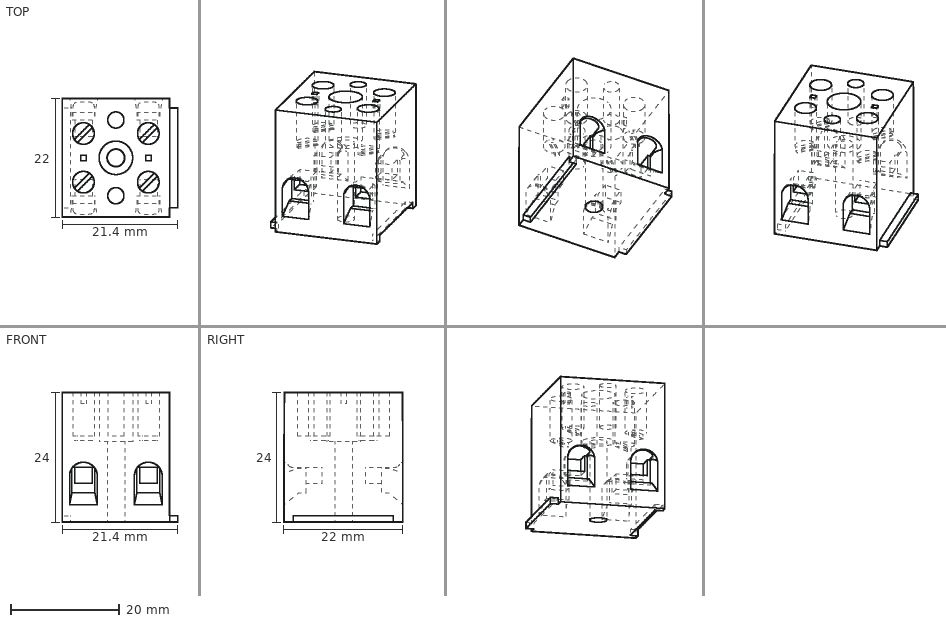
import cadquery as cq
import math

BODY_X = 19.9
BODY_Y = 22.0
BODY_Z = 24.0
DRAFT_START_Z = 15.0
DRAFT_INSET = 0.07

TAB_X = 1.5
TAB_Y = 18.5
TAB_Z = 1.2

POLE_X = 6.0
SCREW_Y = 4.5
SCREW_DIAMETER = 4.0
SCREW_WELL_DEPTH = 8.0
SLOT_WIDTH = 0.8
SLOT_DEPTH = 0.8
SLOT_ANGLE = 45.0
PLAIN_WELL_Y = 7.0
PLAIN_WELL_DIAMETER = 3.0
PLAIN_WELL_DEPTH = 8.0
TEST_WELL_SIDE = 1.0
TEST_WELL_DEPTH = 2.0

MOUNT_DIAMETER = 3.2
MOUNT_HEAD_DIAMETER = 6.2
MOUNT_HEAD_DEPTH = 9.0

ENTRY_WIDTH = 5.15
ENTRY_BOTTOM_Z = 3.25
ENTRY_TOP_Z = 11.1
FUNNEL_DEPTH = 2.6
FUNNEL_SIDE_ANGLE = 10.0
FUNNEL_FLOOR_ANGLE = 40.0
CHAMBER_TOP_Z = 10.2
LIP_SETBACK = 0.6
CHAMBER_WIDTH = ENTRY_WIDTH - 2 * FUNNEL_DEPTH * math.tan(math.radians(FUNNEL_SIDE_ANGLE))
CHAMBER_BOTTOM_Z = ENTRY_BOTTOM_Z + FUNNEL_DEPTH * math.tan(math.radians(FUNNEL_FLOOR_ANGLE))
CHAMBER_DEPTH = 4.0
CLAMP_WIDTH = 3.25
CLAMP_HEIGHT = 3.0
CLAMP_DEPTH = 3.0


def make_body():
    """Block whose two end faces lean inward near the top."""
    half_y = BODY_Y / 2
    half_top = half_y - DRAFT_INSET
    outline = [
        (-half_y, 0),
        (half_y, 0),
        (half_y, DRAFT_START_Z),
        (half_top, BODY_Z),
        (-half_top, BODY_Z),
        (-half_y, DRAFT_START_Z),
    ]
    return cq.Workplane("YZ").polyline(outline).close().extrude(BODY_X / 2, both=True)


def make_tab(outer_x):
    """Bar along the bottom edge that ends at outer_x on its +X side."""
    bar = cq.Workplane("XY").box(TAB_X, TAB_Y, TAB_Z, centered=(True, True, False))
    return bar.translate((outer_x - TAB_X / 2, 0, 0))


def make_screw_well(x, y):
    """Round well with a diagonal screwdriver slot across its floor."""
    floor_z = BODY_Z - SCREW_WELL_DEPTH
    shaft = cq.Workplane("XY").circle(SCREW_DIAMETER / 2).extrude(SCREW_WELL_DEPTH)
    disc = cq.Workplane("XY").circle(SCREW_DIAMETER / 2).extrude(-SLOT_DEPTH)
    bar = (
        cq.Workplane("XY")
        .transformed(rotate=(0, 0, SLOT_ANGLE))
        .rect(SCREW_DIAMETER * 2, SLOT_WIDTH)
        .extrude(-SLOT_DEPTH)
    )
    return shaft.union(disc.intersect(bar)).translate((x, y, floor_z))


def make_mouth_prism():
    """Arched prism that bounds the wire entry, centred on x = 0 at the -Y end."""
    radius = ENTRY_WIDTH / 2
    spring_z = ENTRY_TOP_Z - radius
    return (
        cq.Workplane("XZ", origin=(0, -BODY_Y / 2, 0))
        .moveTo(-radius, ENTRY_BOTTOM_Z)
        .lineTo(radius, ENTRY_BOTTOM_Z)
        .lineTo(radius, spring_z)
        .threePointArc((0, ENTRY_TOP_Z), (-radius, spring_z))
        .close()
        .extrude(-CHAMBER_DEPTH)
    )


def make_funnel_plan():
    """Entry seen from above: tapering sides, then parallel chamber walls."""
    face_y = -BODY_Y / 2
    outline = [
        (-ENTRY_WIDTH / 2, face_y),
        (ENTRY_WIDTH / 2, face_y),
        (CHAMBER_WIDTH / 2, face_y + FUNNEL_DEPTH),
        (CHAMBER_WIDTH / 2, face_y + CHAMBER_DEPTH),
        (-CHAMBER_WIDTH / 2, face_y + CHAMBER_DEPTH),
        (-CHAMBER_WIDTH / 2, face_y + FUNNEL_DEPTH),
    ]
    return cq.Workplane("XY").polyline(outline).close().extrude(BODY_Z)


def make_funnel_section():
    """Entry in lengthwise section: ramped floor and a rounded lip under the crown."""
    face_y = -BODY_Y / 2
    back_y = face_y + CHAMBER_DEPTH
    lip_radius = ENTRY_TOP_Z - CHAMBER_TOP_Z
    lip_reach = lip_radius * math.sqrt(0.5)
    lip_y = face_y + LIP_SETBACK
    lip_middle = (lip_y + lip_radius - lip_reach, ENTRY_TOP_Z - lip_reach)
    return (
        cq.Workplane("YZ")
        .moveTo(face_y, ENTRY_BOTTOM_Z)
        .lineTo(face_y + FUNNEL_DEPTH, CHAMBER_BOTTOM_Z)
        .lineTo(back_y, CHAMBER_BOTTOM_Z)
        .lineTo(back_y, CHAMBER_TOP_Z)
        .lineTo(lip_y + lip_radius, CHAMBER_TOP_Z)
        .threePointArc(lip_middle, (lip_y, ENTRY_TOP_Z))
        .lineTo(face_y, ENTRY_TOP_Z)
        .close()
        .extrude(ENTRY_WIDTH, both=True)
    )


def make_wire_entry():
    """Complete wire entry at the -Y end, centred on x = 0."""
    funnel = make_mouth_prism().intersect(make_funnel_plan()).intersect(make_funnel_section())
    clamp = cq.Workplane("XY").box(CLAMP_WIDTH, CLAMP_DEPTH, CLAMP_HEIGHT)
    clamp_y = -BODY_Y / 2 + CHAMBER_DEPTH + CLAMP_DEPTH / 2
    clamp_z = CHAMBER_TOP_Z - CLAMP_HEIGHT / 2
    return funnel.union(clamp.translate((0, clamp_y, clamp_z)))


body = make_body()
body = body.union(make_tab(BODY_X / 2 + TAB_X))
body = body.cut(make_tab(-BODY_X / 2 + TAB_X))

top_face = cq.Workplane("XY", origin=(0, 0, BODY_Z))
body = body.cut(top_face.circle(MOUNT_DIAMETER / 2).extrude(-BODY_Z))
body = body.cut(top_face.circle(MOUNT_HEAD_DIAMETER / 2).extrude(-MOUNT_HEAD_DEPTH))

plain_wells = top_face.pushPoints([(0, -PLAIN_WELL_Y), (0, PLAIN_WELL_Y)])
body = body.cut(plain_wells.circle(PLAIN_WELL_DIAMETER / 2).extrude(-PLAIN_WELL_DEPTH))
test_wells = top_face.pushPoints([(-POLE_X, 0), (POLE_X, 0)])
body = body.cut(test_wells.rect(TEST_WELL_SIDE, TEST_WELL_SIDE).extrude(-TEST_WELL_DEPTH))

front_entry = make_wire_entry()
back_entry = front_entry.mirror("XZ")
for pole_x in (-POLE_X, POLE_X):
    for screw_y in (-SCREW_Y, SCREW_Y):
        body = body.cut(make_screw_well(pole_x, screw_y))
    body = body.cut(front_entry.translate((pole_x, 0, 0)))
    body = body.cut(back_entry.translate((pole_x, 0, 0)))

result = body